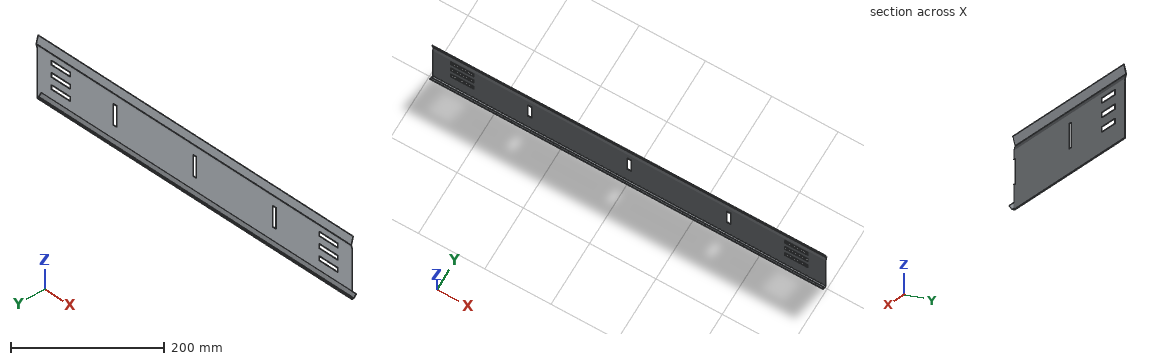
import cadquery as cq
import math

length = 593.0
height = 103.0
depth = 10.0
thickness = 1.0

fold_height = 90.0
web_top = 83.5
rib_angle = 15.0
lip_angle = 45.0
lip_height = 5.5

slot_length = 35.0
slot_middle = 53.5
end_slot_width = 7.0
end_slot_inset = 44.5
end_slot_pitch = 20.0
end_slot_rows = 3
tall_slot_width = 6.0
tall_slot_pitch = 150.0
tall_slot_columns = 3

half_sheet = thickness / 2
rib_slope = math.radians(rib_angle)
lip_slope = math.radians(lip_angle)


def profile_centre_line():
    """(y, z) corners of the sheet's middle surface, from the top edge to the lip edge."""
    top_z = height - half_sheet * math.sin(rib_slope)
    fold_y = depth / 2 - half_sheet / math.cos(rib_slope)
    top_y = fold_y - (top_z - fold_height) * math.tan(rib_slope)
    web_y = fold_y - (fold_height - web_top) * math.tan(rib_slope)
    lip_y = half_sheet * math.sin(lip_slope) - depth / 2
    lip_z = lip_height - half_sheet * math.cos(lip_slope)
    bend_y = lip_y + (lip_z - half_sheet) / math.tan(lip_slope)
    return [
        (top_y, top_z),
        (fold_y, fold_height),
        (web_y, web_top),
        (web_y, half_sheet),
        (bend_y, half_sheet),
        (lip_y, lip_z),
    ]


def mitred_side(points, distance):
    """Polyline parallel to an open polyline, with mitred corners and square ends."""
    headings = [math.atan2(z1 - z0, y1 - y0) for (y0, z0), (y1, z1) in zip(points, points[1:])]
    before = [headings[0]] + headings
    after = headings + [headings[-1]]
    side = []
    for (y, z), entering, leaving in zip(points, before, after):
        bisector = math.atan2(
            math.cos(entering) + math.cos(leaving),
            -math.sin(entering) - math.sin(leaving),
        )
        reach = distance / math.cos(bisector - math.pi / 2 - entering)
        side.append((y + reach * math.cos(bisector), z + reach * math.sin(bisector)))
    return side


def folded_sheet():
    """Sheet of constant thickness folded along the whole length."""
    centre_line = profile_centre_line()
    back = mitred_side(centre_line, half_sheet)
    front = mitred_side(centre_line, -half_sheet)
    return (
        cq.Workplane("YZ", origin=(-length / 2, 0, 0))
        .polyline(back + front[::-1])
        .close()
        .extrude(length)
    )


def spread(count, pitch):
    """Evenly pitched positions centred on zero."""
    return [(i - (count - 1) / 2) * pitch for i in range(count)]


def slot_cutter(centres, size_x, size_z):
    """Rectangular bars that pass right through the sheet."""
    return (
        cq.Workplane("XZ")
        .pushPoints(centres)
        .rect(size_x, size_z)
        .extrude(depth, both=True)
    )


end_slot_x = length / 2 - end_slot_inset
end_slots = [
    (x, slot_middle + z)
    for x in (-end_slot_x, end_slot_x)
    for z in spread(end_slot_rows, end_slot_pitch)
]
tall_slots = [(x, slot_middle) for x in spread(tall_slot_columns, tall_slot_pitch)]

result = (
    folded_sheet()
    .cut(slot_cutter(end_slots, slot_length, end_slot_width))
    .cut(slot_cutter(tall_slots, tall_slot_width, slot_length))
)